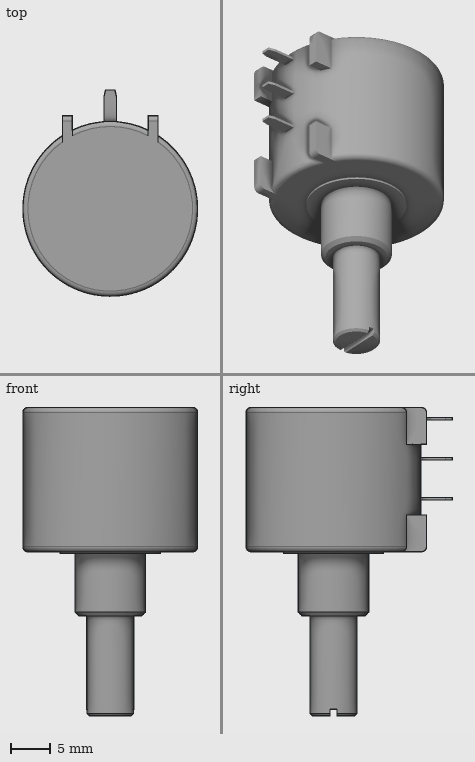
import cadquery as cq


BODY_DIAMETER = 22.23
BODY_RADIUS = BODY_DIAMETER / 2
BODY_HEIGHT = 18.36
BODY_FILLET = 0.65

COLLAR_DIAMETER = 12.75
COLLAR_THICKNESS = 0.24
BUSHING_DIAMETER = 9.0
BUSHING_LENGTH = 7.9
BUSHING_CHAMFER = 0.5
SHAFT_DIAMETER = 6.0
SHAFT_LENGTH = 20.6
SHAFT_CHAMFER = 0.3
SLOT_WIDTH = 0.85
SLOT_DEPTH = 0.8

FOOT_OUTER_X = 6.1
FOOT_THICKNESS = 1.3
FOOT_REACH_Y = 11.85
FOOT_HEIGHT = 4.7
FOOT_ROOT_Y = 8.0
FOOT_FILLET = 0.7

TERMINAL_COUNT = 3
TERMINAL_PITCH = 5.08
TERMINAL_TOP_DROP = 1.45
TERMINAL_LENGTH = 4.0
TERMINAL_TIP_Y = BODY_RADIUS + TERMINAL_LENGTH
TERMINAL_ROOT_Y = 10.0
TERMINAL_WIDTH = 1.65
TERMINAL_TIP_WIDTH = 1.2
TERMINAL_TAPER_LENGTH = 0.9
TERMINAL_THICKNESS = 0.35


def cylinder_down(diameter, top_z, length):
    """Cylinder on the Z axis extending down from top_z."""
    return cq.Workplane("XY").workplane(offset=top_z).circle(diameter / 2).extrude(-length)


def make_body():
    body = cylinder_down(BODY_DIAMETER, BODY_HEIGHT, BODY_HEIGHT)
    return body.edges("%CIRCLE").fillet(BODY_FILLET)


def make_bushing():
    collar = cylinder_down(COLLAR_DIAMETER, 0, COLLAR_THICKNESS)
    bushing = cylinder_down(BUSHING_DIAMETER, 0, COLLAR_THICKNESS + BUSHING_LENGTH)
    return collar.union(bushing.faces("<Z").chamfer(BUSHING_CHAMFER))


def make_shaft():
    length = COLLAR_THICKNESS + SHAFT_LENGTH
    shaft = cylinder_down(SHAFT_DIAMETER, 0, length).faces("<Z").chamfer(SHAFT_CHAMFER)
    slot = (
        cq.Workplane("XY")
        .box(SHAFT_DIAMETER, SLOT_WIDTH, SLOT_DEPTH, centered=(True, True, False))
        .translate((0, 0, -length))
    )
    return shaft.cut(slot)


def make_foot(center_x, bottom_z, rounded_side):
    """Foot flush with one end of the body, rounded on its outer edge at that end."""
    foot = (
        cq.Workplane("XY")
        .box(FOOT_THICKNESS, FOOT_REACH_Y - FOOT_ROOT_Y, FOOT_HEIGHT, centered=(True, False, False))
        .translate((center_x, FOOT_ROOT_Y, bottom_z))
    )
    return foot.faces(">Y").edges(rounded_side).fillet(FOOT_FILLET)


def make_terminal(center_z):
    half_width = TERMINAL_WIDTH / 2
    half_tip = TERMINAL_TIP_WIDTH / 2
    taper_y = TERMINAL_TIP_Y - TERMINAL_TAPER_LENGTH
    outline = [
        (-half_width, TERMINAL_ROOT_Y),
        (half_width, TERMINAL_ROOT_Y),
        (half_width, taper_y),
        (half_tip, TERMINAL_TIP_Y),
        (-half_tip, TERMINAL_TIP_Y),
        (-half_width, taper_y),
    ]
    blade = cq.Workplane("XY").polyline(outline).close().extrude(TERMINAL_THICKNESS)
    return blade.translate((0, 0, center_z - TERMINAL_THICKNESS / 2))


result = make_body().union(make_bushing()).union(make_shaft())

foot_center_x = FOOT_OUTER_X - FOOT_THICKNESS / 2
for side in (-1, 1):
    result = result.union(make_foot(side * foot_center_x, BODY_HEIGHT - FOOT_HEIGHT, ">Z"))
    result = result.union(make_foot(side * foot_center_x, 0, "<Z"))

for index in range(TERMINAL_COUNT):
    terminal_z = BODY_HEIGHT - TERMINAL_TOP_DROP - index * TERMINAL_PITCH
    result = result.union(make_terminal(terminal_z))